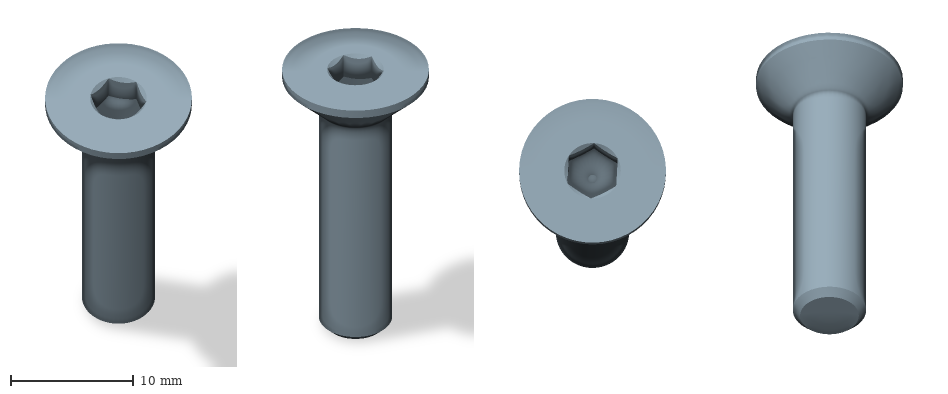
import cadquery as cq
import math

length = 25.0
head_diameter = 12.0
shank_diameter = 6.0
rim_height = 0.72
tip_chamfer = 0.6
neck_fillet = 0.2

socket_flats = 4.0
socket_corners = socket_flats / math.cos(math.pi / 6)
socket_depth = 2.12
corner_clearance = 0.25
mouth_angle = math.radians(45)
floor_angle = math.radians(30)
floor_tip_diameter = 0.7

head_radius = head_diameter / 2
shank_radius = shank_diameter / 2
cone_top = length - rim_height
cone_bottom = cone_top - (head_radius - shank_radius)


def make_body():
    blend_length = neck_fillet * math.tan(math.pi / 8)
    blend_diagonal = blend_length * math.cos(math.pi / 4)
    center_x = shank_radius + neck_fillet
    center_z = cone_bottom - blend_length
    blend_middle = (
        center_x - neck_fillet * math.cos(math.pi / 8),
        center_z + neck_fillet * math.sin(math.pi / 8),
    )
    return (
        cq.Workplane("XZ")
        .moveTo(0, 0)
        .lineTo(shank_radius - tip_chamfer, 0)
        .lineTo(shank_radius, tip_chamfer)
        .lineTo(shank_radius, center_z)
        .threePointArc(blend_middle, (shank_radius + blend_diagonal, cone_bottom + blend_diagonal))
        .lineTo(head_radius, cone_top)
        .lineTo(head_radius, length)
        .lineTo(0, length)
        .close()
        .revolve(360, (0, 0, 0), (0, 1, 0))
    )


def make_socket():
    corner_radius = socket_corners / 2
    tip_radius = floor_tip_diameter / 2
    floor_depth = socket_depth + (corner_radius - tip_radius) * math.tan(floor_angle)
    hexagon = cq.Workplane("XY").workplane(offset=length).polygon(6, socket_corners).extrude(-floor_depth)
    return hexagon.intersect(make_drill_shape(tip_radius, floor_depth)).union(make_socket_mouth())


def make_drill_shape(tip_radius, floor_depth):
    tip_z = length - floor_depth
    outer_radius = socket_corners / 2 + corner_clearance
    cone_rim_z = length - socket_depth + corner_clearance * math.tan(floor_angle)
    return (
        cq.Workplane("XZ")
        .moveTo(0, tip_z)
        .lineTo(tip_radius, tip_z)
        .lineTo(outer_radius, cone_rim_z)
        .lineTo(outer_radius, length)
        .lineTo(0, length)
        .close()
        .revolve(360, (0, 0, 0), (0, 1, 0))
    )


def make_socket_mouth():
    mouth_radius = socket_corners / 2
    mouth_depth = mouth_radius * math.tan(mouth_angle)
    return (
        cq.Workplane("XZ")
        .polyline([(0, length), (mouth_radius, length), (0, length - mouth_depth)])
        .close()
        .revolve(360, (0, 0, 0), (0, 1, 0))
    )


result = make_body().cut(make_socket())